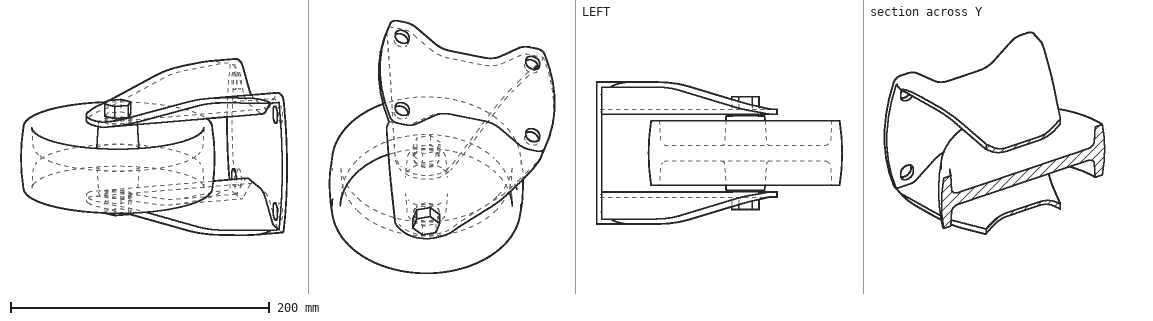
import cadquery as cq
import math


wheel_diameter = 150.0
axle_to_plate_back = 115.0
bracket_height = 110.0
plate_thickness = 4.0
sheet_thickness = 4.0

plate_width = 140.7
plate_side_radius = 160.0
plate_corner_radius = 6.6
slot_width = 11.0
slot_length = 13.5
slot_spacing_x = 105.0
slot_spacing_z = 77.5

channel_height = 34.0
channel_corner_x = 20.9
crest_corner_x = 45.0
channel_radius = 19.0
crest_radius = 13.0
leg_tip_radius = 24.5
leg_root_half_width = 62.8
leg_taper_start = 8.5

tread_width = 50.0
tread_edge_radius = 73.0
tread_edge_fillet = 0.8
rim_inner_radius = 66.6
rim_edge_fillet = 0.8
rim_draft_inset = 1.0
web_half_thickness = 6.0
web_fillet = 5.0
hub_top_diameter = 30.0
hub_foot_diameter = 32.8
hub_half_length = 28.8
hub_edge_fillet = 1.0
hub_base_fillet = 2.4

spacer_diameter = 20.0
bolt_head_flats = 18.4
bolt_head_top = 43.7

bracket_top = bracket_height / 2
plate_front = axle_to_plate_back - plate_thickness
leg_inner_height = channel_height - sheet_thickness


def make_side_outline():
    """Block with bulged sides and rounded corners, long enough for the legs."""
    bulge_x = plate_width / 2
    side_depth = plate_side_radius - math.sqrt(plate_side_radius**2 - bracket_top**2)
    corner_x = bulge_x - side_depth
    length = axle_to_plate_back + leg_tip_radius
    blank = (
        cq.Workplane("XZ", origin=(0, axle_to_plate_back, 0))
        .moveTo(-corner_x, bracket_top)
        .lineTo(corner_x, bracket_top)
        .threePointArc((bulge_x, 0), (corner_x, -bracket_top))
        .lineTo(-corner_x, -bracket_top)
        .threePointArc((-bulge_x, 0), (-corner_x, bracket_top))
        .close()
        .extrude(length)
    )
    return blank.edges("|Y").fillet(plate_corner_radius)


def make_channel_prism(drop):
    """Solid under the pressed sheet profile, lowered along the sheet normal by drop."""
    slope = math.atan2(bracket_top - channel_height, crest_corner_x - channel_corner_x)
    corner_shift = drop * math.tan(slope / 2)
    channel_x = channel_corner_x + corner_shift
    crest_x = crest_corner_x + corner_shift
    channel_z = channel_height - drop
    crest_z = bracket_top - drop
    channel_bend = (channel_radius + drop) * math.tan(slope / 2)
    crest_bend = (crest_radius - drop) * math.tan(slope / 2)

    def on_slope(x):
        return channel_z + (x - channel_x) * math.tan(slope)

    def bend_middle(x, z, radius, side):
        gap = radius * (1 / math.cos(slope / 2) - 1)
        return (x - side * gap * math.sin(slope / 2), z + side * gap * math.cos(slope / 2))

    channel_end = channel_x + channel_bend * math.cos(slope)
    crest_start = crest_x - crest_bend * math.cos(slope)
    channel_mid = bend_middle(channel_x, channel_z, channel_radius + drop, 1)
    crest_mid = bend_middle(crest_x, crest_z, crest_radius - drop, -1)
    half = (
        cq.Workplane("XZ", origin=(0, axle_to_plate_back, 0))
        .lineTo(0, channel_z)
        .lineTo(channel_x - channel_bend, channel_z)
        .threePointArc(channel_mid, (channel_end, on_slope(channel_end)))
        .lineTo(crest_start, on_slope(crest_start))
        .threePointArc(crest_mid, (crest_x + crest_bend, crest_z))
        .lineTo(plate_width, crest_z)
        .lineTo(plate_width, 0)
        .close()
        .extrude(axle_to_plate_back + leg_tip_radius)
    )
    upper = half.union(half.mirror("YZ"))
    return upper.union(upper.mirror("XY"))


def make_leg_taper():
    """Leg outline seen along the axle: straight root, tangent taper, round tip."""
    root_y = axle_to_plate_back - leg_taper_start
    reach = math.hypot(leg_root_half_width, root_y)
    taper = math.atan2(leg_root_half_width, root_y) - math.asin(leg_tip_radius / reach)
    tip_x = leg_tip_radius * math.cos(taper)
    tip_y = -leg_tip_radius * math.sin(taper)
    return (
        cq.Workplane("XY", origin=(0, 0, -bracket_top))
        .moveTo(-leg_root_half_width, axle_to_plate_back)
        .lineTo(leg_root_half_width, axle_to_plate_back)
        .lineTo(leg_root_half_width, root_y)
        .lineTo(tip_x, tip_y)
        .threePointArc((0, -leg_tip_radius), (-tip_x, tip_y))
        .lineTo(-leg_root_half_width, root_y)
        .close()
        .extrude(bracket_height)
    )


def make_bracket():
    blank = make_side_outline().intersect(make_channel_prism(0))
    plate_zone = cq.Workplane("XY").box(
        2 * plate_width, plate_thickness, bracket_height, centered=(True, False, True)
    ).translate((0, plate_front, 0))
    plate = blank.intersect(plate_zone)
    legs = blank.cut(make_channel_prism(sheet_thickness)).intersect(make_leg_taper())
    slots = (
        cq.Workplane("XZ", origin=(0, axle_to_plate_back, 0))
        .rarray(slot_spacing_x, slot_spacing_z, 2, 2)
        .slot2D(slot_length, slot_width, 90)
        .extrude(plate_thickness)
    )
    return plate.cut(slots).union(legs)


def make_wheel():
    half_width = tread_width / 2
    wall_foot = rim_inner_radius - rim_draft_inset
    hub_top = hub_top_diameter / 2
    hub_foot = hub_foot_diameter / 2
    profile = (
        cq.Workplane("XZ")
        .moveTo(0, -hub_half_length)
        .lineTo(hub_top, -hub_half_length)
        .lineTo(hub_foot, -web_half_thickness)
        .lineTo(wall_foot, -web_half_thickness)
        .lineTo(rim_inner_radius, -half_width)
        .lineTo(tread_edge_radius, -half_width)
        .threePointArc((wheel_diameter / 2, 0), (tread_edge_radius, half_width))
        .lineTo(rim_inner_radius, half_width)
        .lineTo(wall_foot, web_half_thickness)
        .lineTo(hub_foot, web_half_thickness)
        .lineTo(hub_top, hub_half_length)
        .lineTo(0, hub_half_length)
        .close()
    )
    wheel = profile.revolve(360, (0, 0, 0), (0, 1, 0))

    def circle_edges(radius, height):
        return lambda edge: (
            edge.geomType() == "CIRCLE"
            and math.isclose(edge.radius(), radius, abs_tol=1e-3)
            and math.isclose(abs(edge.Center().z), height, abs_tol=1e-3)
        )

    edge_fillets = [
        (tread_edge_radius, half_width, tread_edge_fillet),
        (rim_inner_radius, half_width, rim_edge_fillet),
        (wall_foot, web_half_thickness, web_fillet),
        (hub_foot, web_half_thickness, hub_base_fillet),
        (hub_top, hub_half_length, hub_edge_fillet),
    ]
    for radius, height, fillet in edge_fillets:
        wheel = wheel.edges("%CIRCLE").filter(circle_edges(radius, height)).fillet(fillet)
    return wheel


def make_axle():
    spacer = cq.Workplane("XY").circle(spacer_diameter / 2).extrude(leg_inner_height, both=True)
    head_points_diameter = bolt_head_flats / math.cos(math.pi / 6)
    bolt = (
        cq.Workplane("XY")
        .transformed(rotate=(0, 0, 90))
        .polygon(6, head_points_diameter)
        .extrude(bolt_head_top, both=True)
    )
    core = cq.Workplane("XY").circle(head_points_diameter).extrude(leg_inner_height, both=True)
    return spacer.union(bolt.cut(core))


result = make_bracket().union(make_wheel()).union(make_axle())